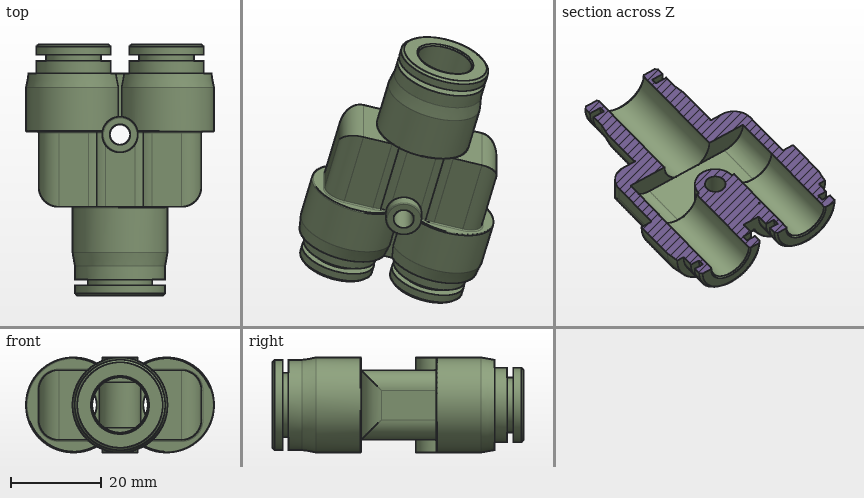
import cadquery as cq

length = 55.4
branch_offset = 10.25

shell_radius = 21.0 / 2
taper_length = 3.0
shell_end_radius = 9.95
shell_edge_fillet = 0.2
rim_chamfer = 0.55
bore_chamfer = 0.35

single_shell_back = 19.55
single_taper_start = 9.55
single_sleeve_radius = 9.95
single_groove_radius = 7.15
single_groove_start = 2.3
single_groove_end = 3.55
single_bore_radius = 6.1
single_bore_depth = 24.95

twin_shell_back = 19.2
twin_taper_start = 9.4
twin_sleeve_radius = 8.25
twin_groove_radius = 6.1
twin_groove_start = 2.3
twin_groove_end = 3.65
twin_bore_radius = 5.1

block_half_height = 7.7
block_fillet = 4.45
block_overlap = 0.55
root_fillet = 0.3

chamber_radius = 5.05

web_width = 1.8
web_height = 7.2

pin_y = 35.5
pin_radius = 3.95
pin_hole_radius = 2.2
pin_edge_fillet = 0.2
pin_sheath_radius = 4.55

twin_shell_y = length - twin_shell_back
twin_taper_end_y = length - twin_taper_start + taper_length


def revolve_port(outline):
    """Turn a (radius, distance from open end) outline about the Y axis."""
    return cq.Workplane("XY").polyline(outline).close().revolve(360, (0, 0, 0), (0, 1, 0))


def shell(taper_start, back):
    """Cylinder with a tapered nose and a lightly rounded back edge."""
    solid = revolve_port([
        (0, taper_start - taper_length),
        (shell_end_radius, taper_start - taper_length),
        (shell_radius, taper_start),
        (shell_radius, back),
        (0, back),
    ])
    return solid.faces(">Y").edges().fillet(shell_edge_fillet)


def sleeve(radius, groove_radius, groove_start, groove_end, back):
    """Release sleeve: a chamfered flange, a groove and a collar."""
    return revolve_port([
        (0, 0),
        (radius - rim_chamfer, 0),
        (radius, rim_chamfer),
        (radius, groove_start),
        (groove_radius, groove_start),
        (groove_radius, groove_end),
        (radius, groove_end),
        (radius, back),
        (0, back),
    ])


def bore(radius, depth):
    """Tube bore with a chamfered mouth."""
    return revolve_port([
        (0, 0),
        (radius + bore_chamfer, 0),
        (radius, bore_chamfer),
        (radius, depth),
        (0, depth),
    ])


def place_twins(port):
    """Put a copy of a port on both twin axes, facing +Y."""
    flipped = port.rotate((0, 0, 0), (0, 0, 1), 180).translate((0, length, 0))
    left = flipped.translate((-branch_offset, 0, 0))
    right = flipped.translate((branch_offset, 0, 0))
    return left.union(right)


def body_block():
    """Three fused rounded bars, with the two front corners rounded as seen from above."""
    run = twin_shell_y + block_overlap - single_shell_back
    side = 2 * block_half_height
    block = None
    for x in (-branch_offset, 0, branch_offset):
        bar = (
            cq.Workplane("XY")
            .box(side, run, side, centered=(True, False, True))
            .edges("|Y")
            .fillet(block_fillet)
            .translate((x, single_shell_back, 0))
        )
        block = bar if block is None else block.union(bar)
    plan = (
        cq.Workplane("XY")
        .box(side + 2 * branch_offset, run, side, centered=(True, False, True))
        .edges("|Z and <Y")
        .fillet(block_fillet)
        .translate((0, single_shell_back, 0))
    )
    return block.intersect(plan)


def valley_web():
    """Flat bar between the twin shells, reaching to their open faces."""
    web_length = twin_taper_end_y - twin_shell_y
    return (
        cq.Workplane("XY")
        .box(web_width, web_length, web_height, centered=(True, False, True))
        .translate((0, twin_shell_y, 0))
    )


def upright_cylinder(radius, height):
    """Z cylinder on the pin axis, centred on the mid-plane."""
    return cq.Workplane("XY", origin=(0, pin_y, -height / 2)).circle(radius).extrude(height)


def chamber():
    """Slot-shaped cavity joining the bores, leaving a round sheath about the pin hole."""
    cavity = (
        cq.Workplane("XZ", origin=(0, single_bore_depth, 0))
        .slot2D(2 * (branch_offset + chamber_radius), 2 * chamber_radius)
        .extrude(single_bore_depth - pin_y)
    )
    return cavity.cut(upright_cylinder(pin_sheath_radius, 2 * shell_radius))


def root_edges():
    """Select the edges where the block meets the back faces of the twin shells."""
    reach_x = branch_offset + shell_radius
    reach_z = block_half_height + root_fillet
    return cq.selectors.BoxSelector(
        (-reach_x, twin_shell_y - root_fillet, -reach_z),
        (reach_x, twin_shell_y + root_fillet, reach_z),
    )


twin_shells = place_twins(shell(twin_taper_start, twin_shell_back)).union(valley_web())
result = body_block().union(twin_shells)
result = result.edges(root_edges()).fillet(root_fillet)
result = result.union(shell(single_taper_start, single_shell_back))

result = result.union(sleeve(
    single_sleeve_radius, single_groove_radius, single_groove_start, single_groove_end, single_taper_start))
result = result.union(place_twins(sleeve(
    twin_sleeve_radius, twin_groove_radius, twin_groove_start, twin_groove_end, twin_taper_start)))

result = result.union(
    upright_cylinder(pin_radius, 2 * shell_radius).faces("|Z").edges().fillet(pin_edge_fillet))

result = result.cut(bore(single_bore_radius, single_bore_depth))
result = result.cut(place_twins(bore(twin_bore_radius, length - pin_y)))
result = result.cut(chamber())
result = result.cut(upright_cylinder(pin_hole_radius, 2 * shell_radius))